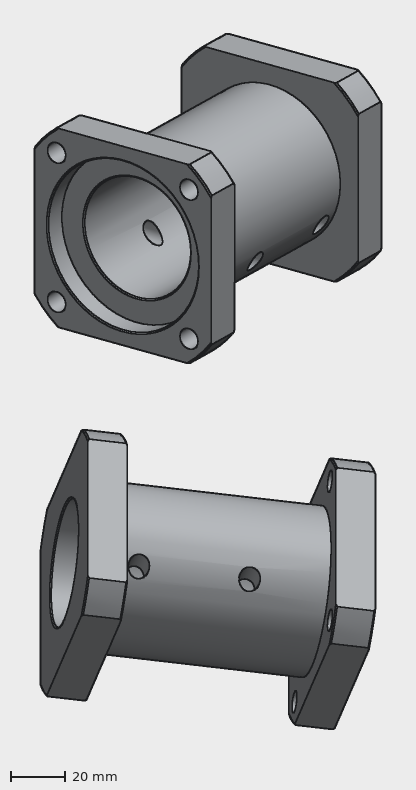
import cadquery as cq

length = 109.0
flange_side = 80.0
flange_thickness = 15.0
flange_corner_diameter = 100.0
edge_chamfer = 0.5

tube_diameter = 64.0
bore_diameter = 48.0
recess_diameter = 68.0
recess_depth = 9.0

bolt_hole_diameter = 8.2
bolt_spacing = 60.0

cross_hole_diameter = 8.0
cross_hole_z = -15.0
cross_hole_ys = (32.5, -9.5)

half_length = length / 2


def y_cylinder(diameter, start_y, height):
    """Cylinder along +Y starting at start_y."""
    plane = cq.Workplane("XZ", origin=(0, start_y, 0))
    return plane.circle(diameter / 2).extrude(-height)


def flange(start_y):
    """Square plate whose corners are turned to a chamfered disc."""
    disc = y_cylinder(flange_corner_diameter, start_y, flange_thickness)
    disc = disc.edges("%CIRCLE").chamfer(edge_chamfer)
    plate = cq.Workplane("XY").box(flange_side, flange_thickness, flange_side)
    plate = plate.translate((0, start_y + flange_thickness / 2, 0))
    return disc.intersect(plate)


def stepped_bore():
    """Through bore with a recess at the -Y end; every mouth is chamfered. Revolved about Y."""
    bore_radius = bore_diameter / 2
    recess_radius = recess_diameter / 2
    recess_floor = -half_length + recess_depth
    half_profile = (
        cq.Workplane("XY")
        .moveTo(0, -half_length)
        .lineTo(recess_radius + edge_chamfer, -half_length)
        .lineTo(recess_radius, -half_length + edge_chamfer)
        .lineTo(recess_radius, recess_floor)
        .lineTo(bore_radius + edge_chamfer, recess_floor)
        .lineTo(bore_radius, recess_floor + edge_chamfer)
        .lineTo(bore_radius, half_length - edge_chamfer)
        .lineTo(bore_radius + edge_chamfer, half_length)
        .lineTo(0, half_length)
        .close()
    )
    return half_profile.revolve(360, (0, 0, 0), (0, 1, 0))


def bolt_holes():
    """Four holes through the -Y flange."""
    return (
        cq.Workplane("XZ", origin=(0, -half_length, 0))
        .rect(bolt_spacing, bolt_spacing, forConstruction=True)
        .vertices()
        .circle(bolt_hole_diameter / 2)
        .extrude(-flange_thickness)
    )


def cross_holes():
    """Holes crossing the whole tube parallel to X."""
    return (
        cq.Workplane("YZ")
        .pushPoints([(y, cross_hole_z) for y in cross_hole_ys])
        .circle(cross_hole_diameter / 2)
        .extrude(tube_diameter / 2, both=True)
    )


tube = y_cylinder(tube_diameter, -half_length + flange_thickness, length - 2 * flange_thickness)
body = tube.union(flange(-half_length)).union(flange(half_length - flange_thickness))
result = body.cut(stepped_bore()).cut(bolt_holes()).cut(cross_holes())